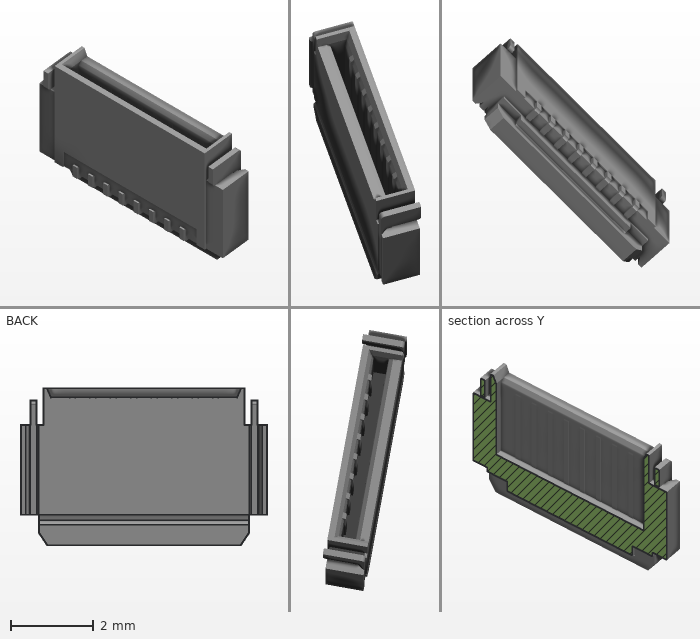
import cadquery as cq


housing_top = 3.83
housing_bottom = 0.74
wing_top = 2.935

housing_width = 4.91
housing_front = 0.055
housing_back = 1.05

overall_width = 6.0
wing_front = 0.11
notch_floor = 0.895
notch_inner_top = 2.57
notch_inner_floor = 2.61
notch_outer_floor = 2.785
notch_outer_top = 2.885

cavity_half_width = 2.275
cavity_front = 0.305
cavity_front_lower = 0.35
cavity_front_step_depth = 0.24
cavity_back = 0.72
cavity_floor = 1.32
lead_in_width = 0.09
lead_in_depth = 0.22
back_wall_chamfer_start = 0.835
back_wall_chamfer_end = 0.75
back_wall_chamfer_depth = 0.08
back_wall_round_depth = 0.06

recess_width = 4.355
recess_top = 1.24
recess_floor = 0.095

flange_width = 5.125
flange_tip_width = 4.715
flange_corner_height = 0.305
flange_back = 1.06
flange_front = 0.61
neck_back = 0.96
neck_front = 0.415
neck_bottom = 0.61
flange_shoulder = 0.505
front_block_width = 3.89
front_block_bottom = 0.305
groove_bottom = 0.245
groove_roof_front = 0.58
groove_back = 0.64

pin_count = 8
pin_pitch = 0.5
pin_width = 0.145
foot_bottom = 0.63
foot_top = 1.045
foot_back = 0.385
foot_underside = 0.685
foot_hollow_length = 0.09
foot_tip_radius = 0.09
foot_thickness = 0.095
foot_leg_height = 0.145
front_contact_top = housing_top - lead_in_depth
back_contact_top = 3.395
back_contact_tip = 0.03
front_contact_back = 0.395
back_contact_front = 0.71
back_contact_depth = 0.06

tab_center = 2.695
tab_width = 0.15
tab_top = 3.53
tab_bottom = 2.965
tab_back = 1.03
tab_stem_front = 0.75
tab_radius = 0.095


def box(x_range, y_range, z_range):
    """Box between the given limits on each axis."""
    size = [high - low for low, high in (x_range, y_range, z_range)]
    corner = cq.Vector(x_range[0], y_range[0], z_range[0])
    return cq.Workplane(cq.Solid.makeBox(*size, corner))


def centered_box(width, y_range, z_range):
    """Box symmetric about X = 0."""
    return box((-width / 2, width / 2), y_range, z_range)


def extrude_along_x(profile, width, center=0.0):
    """Extrude a closed profile drawn in (Y, Z) to a given width about an X position."""
    return profile.extrude(width / 2, both=True).translate((center, 0, 0))


def make_housing():
    housing_z = (housing_bottom, housing_top)
    body = centered_box(housing_width, (housing_front, housing_back), housing_z)
    wings = centered_box(overall_width, (wing_front, housing_back), (housing_bottom, wing_top))
    body = body.union(wings)
    recess = centered_box(recess_width, (housing_front, recess_floor), (housing_bottom, recess_top))
    return body.cut(recess)


def make_wing_notch(side):
    """V-like groove down the back of one wing, where the hold-down tab sits."""
    return (
        cq.Workplane("XY")
        .workplane(offset=housing_bottom)
        .moveTo(side * notch_inner_top, housing_back)
        .lineTo(side * notch_inner_floor, notch_floor)
        .lineTo(side * notch_outer_floor, notch_floor)
        .lineTo(side * notch_outer_top, housing_back)
        .close()
        .extrude(wing_top - housing_bottom)
    )


def make_cavity():
    """Slot open at the top; its back wall is lower than the rim, with a chamfer and a rounded edge."""
    back_wall_top = housing_top - lead_in_depth
    round_width = back_wall_chamfer_end - cavity_back
    back_wall_radius = (round_width**2 + back_wall_round_depth**2) / (2 * round_width)
    chamfer_bottom = back_wall_top - back_wall_chamfer_depth
    profile = (
        cq.Workplane("YZ")
        .moveTo(cavity_front_lower, cavity_floor)
        .lineTo(cavity_front_lower, back_wall_top - cavity_front_step_depth)
        .lineTo(cavity_front, back_wall_top)
        .lineTo(cavity_front, housing_top)
        .lineTo(housing_back, housing_top)
        .lineTo(housing_back, back_wall_top)
        .lineTo(back_wall_chamfer_start, back_wall_top)
        .lineTo(back_wall_chamfer_end, chamfer_bottom)
        .radiusArc((cavity_back, chamfer_bottom - back_wall_round_depth), -back_wall_radius)
        .lineTo(cavity_back, cavity_floor)
        .close()
    )
    return extrude_along_x(profile, 2 * cavity_half_width)


def make_lead_in():
    """Sloped rim on the front and side walls of the cavity."""
    side_slope = (
        cq.Workplane("XZ", origin=(0, cavity_front - lead_in_width, 0))
        .moveTo(-cavity_half_width, housing_top - lead_in_depth)
        .lineTo(cavity_half_width, housing_top - lead_in_depth)
        .lineTo(cavity_half_width + lead_in_width, housing_top)
        .lineTo(-cavity_half_width - lead_in_width, housing_top)
        .close()
        .extrude(-(housing_back - cavity_front + lead_in_width))
    )
    front_slope = (
        cq.Workplane("YZ")
        .moveTo(cavity_front, housing_top - lead_in_depth)
        .lineTo(housing_back, housing_top - lead_in_depth)
        .lineTo(housing_back, housing_top)
        .lineTo(cavity_front - lead_in_width, housing_top)
        .close()
    )
    return side_slope.intersect(extrude_along_x(front_slope, housing_width))


def make_flange():
    """Stepped foot below the housing, with sloped lower corners and a grooved front block."""
    profile = (
        cq.Workplane("YZ")
        .moveTo(flange_front, 0)
        .lineTo(flange_back, 0)
        .lineTo(flange_back, flange_shoulder)
        .lineTo(neck_back, neck_bottom)
        .lineTo(neck_back, housing_bottom)
        .lineTo(neck_front, housing_bottom)
        .lineTo(neck_front, neck_bottom)
        .lineTo(flange_front, neck_bottom)
        .close()
    )
    flange = extrude_along_x(profile, flange_width)
    outline = (
        cq.Workplane("XZ")
        .moveTo(-flange_tip_width / 2, 0)
        .lineTo(flange_tip_width / 2, 0)
        .lineTo(flange_width / 2, flange_corner_height)
        .lineTo(flange_width / 2, housing_bottom)
        .lineTo(-flange_width / 2, housing_bottom)
        .lineTo(-flange_width / 2, flange_corner_height)
        .close()
        .extrude(-flange_back)
    )
    groove = centered_box(front_block_width, (flange_front, groove_back), (groove_bottom, front_block_bottom))
    front_block = (
        cq.Workplane("YZ")
        .moveTo(neck_front, neck_bottom)
        .lineTo(neck_front, front_block_bottom)
        .lineTo(groove_roof_front, front_block_bottom)
        .lineTo(groove_back, groove_bottom)
        .lineTo(groove_back, neck_bottom)
        .close()
    )
    return flange.intersect(outline).cut(groove).union(extrude_along_x(front_block, front_block_width))


def make_contact(center):
    """One pin: solder foot below the front face and a blade along each cavity wall."""
    x_range = (center - pin_width / 2, center + pin_width / 2)
    leg = box(x_range, (0, foot_back), (foot_bottom, foot_bottom + foot_leg_height))
    foot = box(x_range, (0, foot_thickness), (foot_bottom, foot_top))
    foot = foot.edges("|X and >Y and >Z").fillet(foot_tip_radius)

    hollow_height = foot_underside - foot_bottom
    hollow_radius = (foot_hollow_length**2 + hollow_height**2) / (2 * hollow_height)
    hollow = (
        cq.Workplane("YZ", origin=(center, 0, 0))
        .center(0, foot_underside - hollow_radius)
        .circle(hollow_radius)
        .extrude(pin_width / 2, both=True)
    )

    front_contact_rise = front_contact_back - cavity_front
    front_blade = (
        cq.Workplane("YZ")
        .moveTo(cavity_front, cavity_floor)
        .lineTo(front_contact_back, cavity_floor)
        .lineTo(front_contact_back, front_contact_top - front_contact_rise)
        .lineTo(cavity_front, front_contact_top)
        .close()
    )
    back_blade = (
        cq.Workplane("YZ")
        .moveTo(back_contact_front, cavity_floor)
        .lineTo(back_contact_front, back_contact_top - back_contact_tip)
        .lineTo(cavity_back, back_contact_top)
        .lineTo(back_contact_front + back_contact_depth, back_contact_top)
        .lineTo(back_contact_front + back_contact_depth, cavity_floor)
        .close()
    )
    pin = leg.union(foot).cut(hollow)
    for blade in (front_blade, back_blade):
        pin = pin.union(extrude_along_x(blade, pin_width, center))
    return pin


def make_tab(side):
    """L-shaped hold-down tab whose stem fills the middle of the wing notch."""
    center = side * tab_center
    x_range = (center - tab_width / 2, center + tab_width / 2)
    plate = box(x_range, (0, tab_back), (tab_bottom, tab_top))
    plate = plate.edges("|X and <Y and <Z").fillet(tab_radius)
    plate = plate.edges("|X and >Y and >Z").fillet(tab_radius)
    stem = box(x_range, (tab_stem_front, tab_back), (housing_bottom, tab_bottom))
    return plate.union(stem)


result = make_housing().cut(make_cavity()).cut(make_lead_in()).union(make_flange())

for side in (-1, 1):
    result = result.cut(make_wing_notch(side)).union(make_tab(side))

for index in range(pin_count):
    result = result.union(make_contact((index - (pin_count - 1) / 2) * pin_pitch))